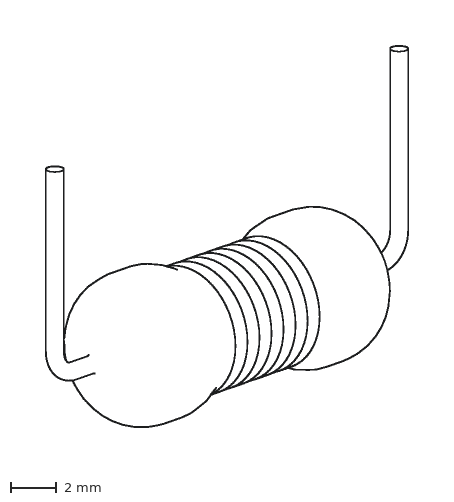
import cadquery as cq
import math


cap_diameter = 7.0
waist_diameter = 5.95
band_diameter = 5.97
body_length = 16.5
waist_length = 5.5
cap_flat_start = 4.75
band_count = 7

lead_diameter = 0.8
lead_pitch = 22.5
lead_height = 9.6
bend_radius = 1.2
collar_radius = 0.7

cap_radius = cap_diameter / 2
waist_radius = waist_diameter / 2
lead_radius = lead_diameter / 2
half_body = body_length / 2
half_waist = waist_length / 2
half_pitch = lead_pitch / 2
collar_base_radius = lead_radius + collar_radius
dome_radius = cap_radius - collar_base_radius
cap_flat_end = half_body - dome_radius
collar_end = half_body + collar_radius
bend_start = half_pitch - bend_radius
band_width = waist_length / band_count

shoulder_middle = (half_waist + cap_flat_start) / 2
shoulder_middle_radius = (waist_radius + cap_radius) / 2
arc_run = shoulder_middle - half_waist
arc_rise = shoulder_middle_radius - waist_radius
shoulder_radius = (arc_run**2 + arc_rise**2) / (2 * arc_rise)
half_angle = math.asin(arc_run / shoulder_radius) / 2
half_arc_run = shoulder_radius * math.sin(half_angle)
half_arc_rise = shoulder_radius * (1 - math.cos(half_angle))


def make_cap():
    """Revolve the +Y end cap, with its shoulder and collar, about the Y axis."""
    quarter = math.sqrt(0.5)
    dome_middle = (
        collar_base_radius + dome_radius * quarter,
        cap_flat_end + dome_radius * quarter,
    )
    collar_middle = (
        collar_base_radius - collar_radius * quarter,
        collar_end - collar_radius * quarter,
    )
    profile = (
        cq.Workplane("XY")
        .moveTo(0, half_waist)
        .lineTo(waist_radius, half_waist)
        .threePointArc(
            (waist_radius + half_arc_rise, half_waist + half_arc_run),
            (shoulder_middle_radius, shoulder_middle),
        )
        .threePointArc(
            (cap_radius - half_arc_rise, cap_flat_start - half_arc_run),
            (cap_radius, cap_flat_start),
        )
        .lineTo(cap_radius, cap_flat_end)
        .threePointArc(dome_middle, (collar_base_radius, half_body))
        .threePointArc(collar_middle, (lead_radius, collar_end))
        .lineTo(0, collar_end)
        .close()
    )
    return profile.revolve(360, (0, 0, 0), (0, 1, 0))


def make_lead():
    """Sweep the +Y lead from the collar, round the bend, up to its tip."""
    path = (
        cq.Workplane("YZ")
        .moveTo(collar_end, 0)
        .lineTo(bend_start, 0)
        .tangentArcPoint((half_pitch, bend_radius), relative=False)
        .lineTo(half_pitch, lead_height)
    )
    section = cq.Workplane("XZ", origin=(0, collar_end, 0)).circle(lead_radius)
    return section.sweep(path)


def make_disc(start, diameter, width):
    """Make a cylinder along Y that begins at the given Y."""
    plane = cq.Workplane("XZ", origin=(0, start, 0))
    return plane.circle(diameter / 2).extrude(-width)


end = make_cap().union(make_lead())
result = make_disc(-half_waist, waist_diameter, waist_length)
result = result.union(end).union(end.mirror("XZ"))

for index in range(0, band_count, 2):
    band_start = -half_waist + index * band_width
    result = result.union(make_disc(band_start, band_diameter, band_width))